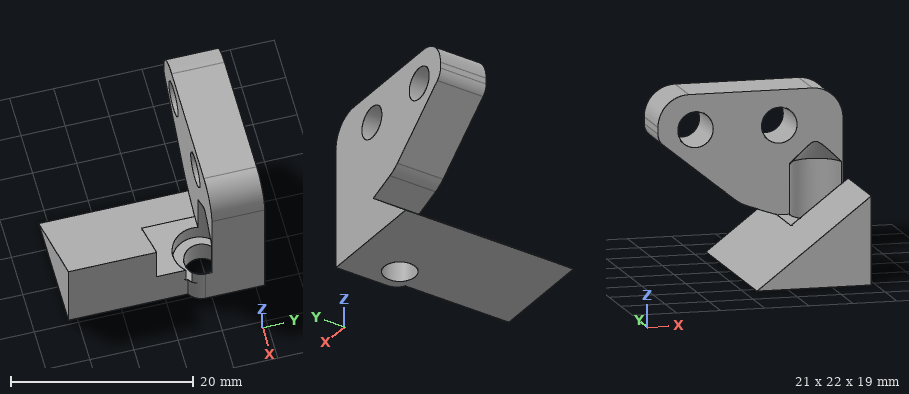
import cadquery as cq

width = 21.0
depth = 22.0
height = 19.0

plate_thickness = 6.0
plate_front = depth - plate_thickness
top_corner_radius = 3.5
left_corner_radius = 1.67
belly_radius = 5.0
left_corner_height = 13.95
belly_x = 9.33
belly_z = 6.45

hole_diameter = 4.0
plate_hole_z = 15.03
plate_hole_xs = (4.27, 13.77)

wedge_left = 7.0
wedge_right = 20.0
wedge_height = 10.0
ledge_z = wedge_height / 2
ledge_length = plate_thickness
wedge_slope = wedge_height / (wedge_right - wedge_left)
ledge_left = wedge_left + ledge_z / wedge_slope

boss_corner_radius = 2.0
boss_x = width - boss_corner_radius
boss_y = 15.3

screw_x = 17.86
screw_y = 15.69
clearance_x = screw_x
clearance_y = 15.4
clearance_radius = 3.0
seat_z = 3.0
clearance_top = 10.6


def back_plane():
    """XZ sketch plane on the rear face; extrusions run forward."""
    return cq.Workplane("XZ", origin=(0, depth, 0))


def make_plate():
    outline = back_plane().polyline([
        (0, height),
        (width, height),
        (width, ledge_z),
        (ledge_left, ledge_z),
        (belly_x, belly_z),
        (0, left_corner_height),
    ]).close()
    plate = outline.extrude(plate_thickness)
    plate = plate.edges("|Y").edges(">Z").fillet(top_corner_radius)
    plate = fillet_plate_edge(plate, 0, left_corner_height, left_corner_radius)
    plate = fillet_plate_edge(plate, belly_x, belly_z, belly_radius)
    hole_centers = [(x, plate_hole_z) for x in plate_hole_xs]
    holes = back_plane().pushPoints(hole_centers).circle(hole_diameter / 2).extrude(plate_thickness)
    return plate.cut(holes)


def fillet_plate_edge(plate, x, z, radius):
    """Round the plate edge that runs along Y through (x, z)."""
    middle = (x, depth - plate_thickness / 2, z)
    return plate.edges(cq.NearestToPointSelector(middle)).fillet(radius)


def make_wedge():
    outline = back_plane().polyline([
        (wedge_left, 0),
        (wedge_right, 0),
        (wedge_right, wedge_height),
    ]).close()
    wedge = outline.extrude(depth)
    ledge_cut = cq.Workplane("XY").box(
        width, plate_thickness + ledge_length, height, centered=False
    ).translate((0, plate_front - ledge_length, ledge_z))
    return wedge.cut(ledge_cut)


def make_boss():
    """Low block with a round front corner that runs straight back to the rear face."""
    return (
        cq.Workplane("XY")
        .moveTo(boss_x, depth)
        .lineTo(boss_x, boss_y - boss_corner_radius)
        .radiusArc((width, boss_y), -boss_corner_radius)
        .lineTo(width, depth)
        .close()
        .extrude(ledge_z)
    )


def make_screw_cut():
    """Through hole, wider clearance above the seat and a 45 degree cone on top."""
    hole = cq.Workplane("XY").center(screw_x, screw_y).circle(hole_diameter / 2).extrude(clearance_top)
    profile = cq.Workplane("XZ", origin=(clearance_x, clearance_y, 0)).polyline([
        (0, seat_z),
        (clearance_radius, seat_z),
        (clearance_radius, clearance_top),
        (0, clearance_top + clearance_radius),
    ]).close()
    clearance = profile.revolve(360, (0, 0, 0), (0, 1, 0))
    return hole.union(clearance)


body = make_wedge().union(make_plate()).union(make_boss())
result = body.cut(make_screw_cut())